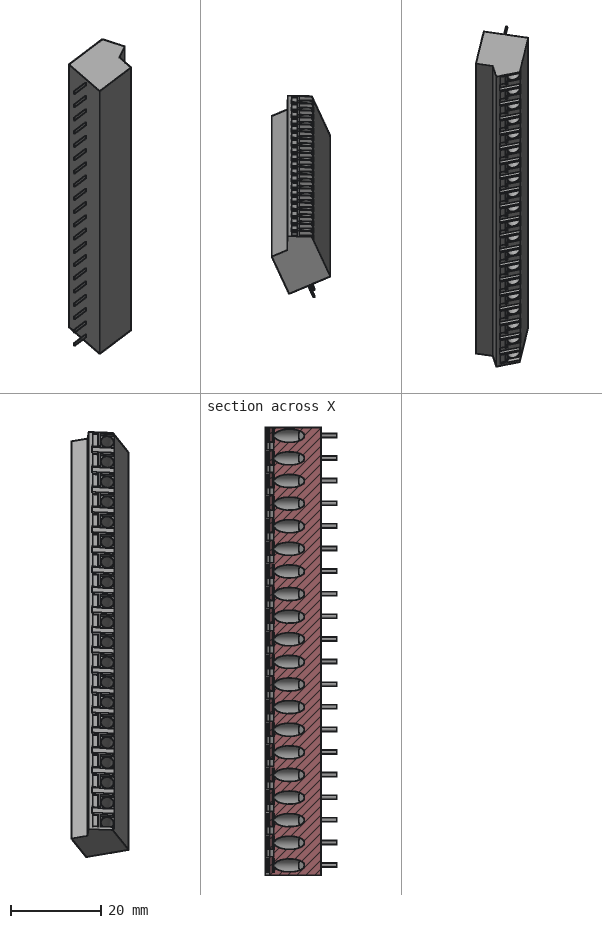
import cadquery as cq
import math

length = 99.1
width = 10.0
peak_y = 12.4
shoulder_y = 9.5
peak_x = 4.85
slope = math.radians(25)

pole_count = 20
pitch = 5.0

pin_length = 3.5
pin_embed = 1.0
pin_x = 5.5
pin_z = 2.3
pin_thickness = 0.4
pin_breadth = 0.95

entry_z = (0.75, 3.7)
entry_start = 2.6
entry_depth = 0.9
rib_thickness = 0.45
gap_z = (entry_z[1] + rib_thickness, pitch + entry_z[0])
gap_start = 0.8
gap_depth = 0.75

slot_start = 0.9
slot_width = 1.2
slot_depth = 0.35

hole_diameter = 2.8
hole_from_ridge = 4.2
hole_depth = 6.0

slope_length = peak_x / math.cos(slope)
cut_overrun = 2.0


def on_slope(down, depth):
    """Point in XY at a distance down the slope from the ridge and a depth below it."""
    x = peak_x - down * math.cos(slope) + depth * math.sin(slope)
    y = peak_y - down * math.sin(slope) - depth * math.cos(slope)
    return x, y


def make_housing():
    left_y = peak_y - peak_x * math.tan(slope)
    shoulder_x = peak_x + (peak_y - shoulder_y) * math.tan(slope)
    outline = [
        (0, 0),
        (width, 0),
        (width, shoulder_y),
        (shoulder_x, shoulder_y),
        (peak_x, peak_y),
        (0, left_y),
    ]
    return cq.Workplane("XY").polyline(outline).close().extrude(length)


def slope_recess(start, end, depth, z_span):
    """Rectangular recess in the sloped face with walls normal to it."""
    outline = [
        on_slope(start, -cut_overrun),
        on_slope(start, depth),
        on_slope(end, depth),
        on_slope(end, -cut_overrun),
    ]
    low, high = z_span
    return cq.Workplane("XY").workplane(offset=low).polyline(outline).close().extrude(high - low)


def wire_hole():
    x, y = on_slope(hole_from_ridge, entry_depth)
    floor = cq.Plane(
        origin=(x, y, sum(entry_z) / 2),
        xDir=(0, 0, 1),
        normal=(math.sin(slope), -math.cos(slope), 0),
    )
    return cq.Workplane(floor).circle(hole_diameter / 2).extrude(hole_depth)


def pin():
    section = cq.Plane(origin=(pin_x, pin_embed, pin_z), xDir=(1, 0, 0), normal=(0, -1, 0))
    profile = cq.Workplane(section).ellipse(pin_thickness / 2, pin_breadth / 2)
    return profile.extrude(pin_embed + pin_length)


def repeated(feature, count):
    """Copies of a feature, one per pole, starting from the lowest pole."""
    shape = feature.val()
    return [shape.translate(cq.Vector(0, 0, pole * pitch)) for pole in range(count)]


open_end = slope_length + cut_overrun
entry = slope_recess(entry_start, open_end, entry_depth, entry_z)
gap = slope_recess(gap_start, open_end, gap_depth, gap_z)
slot = slope_recess(slot_start, slot_start + slot_width, slot_depth, entry_z)

cutters = []
for recess in (entry, slot, wire_hole()):
    cutters += repeated(recess, pole_count)
cutters += repeated(gap, pole_count - 1)

solid = make_housing().val().cut(*cutters).fuse(*repeated(pin(), pole_count))
result = cq.Workplane("XY").newObject([solid])